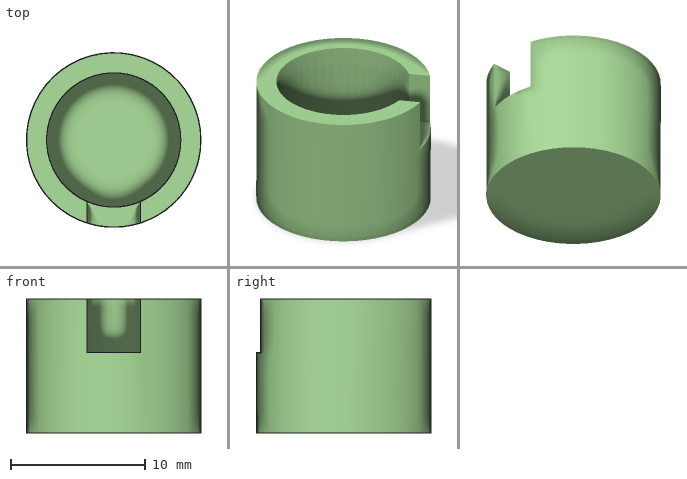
import cadquery as cq

outer_diameter = 13.0
bore_diameter = 10.0
height = 10.0
floor_thickness = 2.0

notch_width = 4.0
notch_depth = 4.0


def make_cup():
    """Round cup standing on the XY plane, with a flat-bottomed bore."""
    body = cq.Workplane("XY").circle(outer_diameter / 2).extrude(height)
    bore = (
        cq.Workplane("XY")
        .workplane(offset=floor_thickness)
        .circle(bore_diameter / 2)
        .extrude(height - floor_thickness)
    )
    return body.cut(bore)


def make_notch():
    """Block reaching from the cup axis out past the -Y wall."""
    return cq.Workplane("XY").box(
        notch_width, outer_diameter, notch_depth, centered=(True, False, False)
    ).translate((0, -outer_diameter, height - notch_depth))


result = make_cup().cut(make_notch())